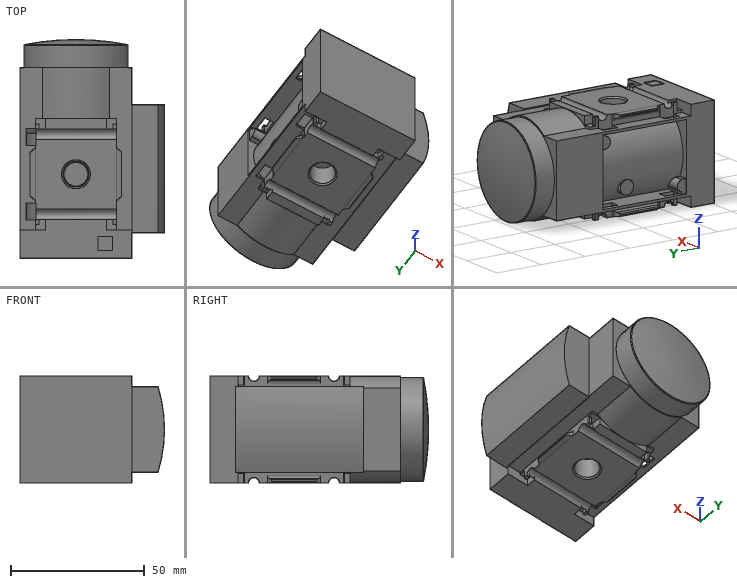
import cadquery as cq
import math


BODY_WIDTH = 42.0
BODY_HEIGHT = 40.2
HALF_WIDTH = BODY_WIDTH / 2
HALF_HEIGHT = BODY_HEIGHT / 2
FRONT_BLOCK_DEPTH = 10.6
CARRIER_END = 52.45
BONNET_END = 71.5
TOTAL_LENGTH = 82.0
SHELF_HALF_HEIGHT = 15.6
CREST_RADIUS = 20.0
CARRIER_MID = (FRONT_BLOCK_DEPTH + CARRIER_END) / 2

CAP_DIAMETER = 39.0
CAP_STRAIGHT_END = 79.75
CAP_CHAMFER = 0.3

PLATE_WIDTH = 30.3
PLATE_HALF_WIDTH = PLATE_WIDTH / 2
GROOVE_DIAMETER = 4.0
GROOVE_SPACING = 30.0
PORT_DIAMETER = 9.7
PORT_FLOOR_DIAMETER = 8.9
PORT_DEPTH = 9.8
PORT_CHAMFER = 0.6

LIP_REACH = 2.0
LIP_LENGTH = 19.8
LIP_END_TAPER = 1.6
LIP_TOP_DROP = 0.3
LIP_EDGE_BOTTOM = 19.3
LIP_BEVEL_BOTTOM = 18.8
LIP_BEVEL_INSET = 0.3
LIP_ROOT_BOTTOM = 17.45
LIP_ROOT_RADIUS = 0.8

NOTCH_WIDTH = 3.7
NOTCH_LENGTH = 4.0
NOTCH_FLOOR = 16.55
TAB_WIDTH = 1.3
TAB_LENGTH = 2.0
TAB_CHAMFER = 0.4

WINDOW_LENGTH = 38.0
WINDOW_HALF_HEIGHT = 14.5
BOWL_RADIUS = 18.5
PIN_DIAMETER = 6.1
PIN_FACE_X = -17.95
PIN_Y = 37.5
PIN_Z = -8.6
BOSS_DIAMETER = 5.0
BOSS_FACE_X = -20.4
BOSS_SPACING_Y = 35.4
BOSS_Z = 11.15
BOSS_WEB_OVERLAP = 0.6

SLOT_WIDTH = 3.8
SLOT_LENGTH = 6.2
SLOT_SPACING = 27.9
SLOT_INNER_X = -14.9

MODULE_FRONT = 9.6
MODULE_BACK = 57.6
MODULE_HALF_HEIGHT = 16.1
MODULE_EDGE_X = 30.7
MODULE_CROWN_X = 33.2

LABEL_SIZE = 5.3
LABEL_X = 11.0
LABEL_Y = 5.6
LABEL_DEPTH = 0.25


def box(x_range, y_range, z_range):
    """Box between two limits on each axis."""
    size = [high - low for low, high in (x_range, y_range, z_range)]
    corner = (x_range[0], y_range[0], z_range[0])
    return cq.Workplane("XY").box(*size, centered=False).translate(corner)


def cylinder_along_y(radius, start, end):
    return cq.Workplane("XZ", origin=(0, start, 0)).circle(radius).extrude(start - end)


def cylinder_along_x(diameter, start, end, y, z):
    return cq.Workplane("YZ", origin=(start, y, z)).circle(diameter / 2).extrude(end - start)


def with_mirror(shape, plane):
    return shape.union(shape.mirror(plane))


def make_housing():
    """Front block, carrier with low shelves, and bonnet with its round crest."""
    full_x = (-HALF_WIDTH, HALF_WIDTH)
    full_z = (-HALF_HEIGHT, HALF_HEIGHT)
    shelf_z = (-SHELF_HALF_HEIGHT, SHELF_HALF_HEIGHT)
    front_block = box(full_x, (0, FRONT_BLOCK_DEPTH), full_z)
    core = box(full_x, (FRONT_BLOCK_DEPTH, BONNET_END), shelf_z)
    crest = cylinder_along_y(CREST_RADIUS, CARRIER_END, BONNET_END)
    return front_block.union(core).union(crest)


def make_cap():
    radius = CAP_DIAMETER / 2
    rim_radius = radius - CAP_CHAMFER
    rim_y = CAP_STRAIGHT_END + CAP_CHAMFER
    rise = TOTAL_LENGTH - rim_y
    dome_radius = (rim_radius**2 + rise**2) / (2 * rise)
    middle_x = rim_radius / 2
    middle_y = TOTAL_LENGTH - dome_radius + math.sqrt(dome_radius**2 - middle_x**2)
    return (
        cq.Workplane("XY")
        .moveTo(0, BONNET_END)
        .lineTo(radius, BONNET_END)
        .lineTo(radius, CAP_STRAIGHT_END)
        .lineTo(rim_radius, rim_y)
        .threePointArc((middle_x, middle_y), (0, TOTAL_LENGTH))
        .close()
        .revolve(360, (0, 0, 0), (0, 1, 0))
    )


def make_lip():
    """Tapered lip on the +X side of the top plate, with a rounded root underneath."""
    outer_x = PLATE_HALF_WIDTH + LIP_REACH
    round_inset = LIP_ROOT_RADIUS * (1 - math.sqrt(0.5))
    round_top = LIP_ROOT_BOTTOM + LIP_ROOT_RADIUS
    profile = (
        cq.Workplane("XZ", origin=(0, CARRIER_MID + LIP_LENGTH / 2, 0))
        .moveTo(PLATE_HALF_WIDTH, HALF_HEIGHT)
        .lineTo(outer_x, HALF_HEIGHT - LIP_TOP_DROP)
        .lineTo(outer_x, LIP_EDGE_BOTTOM)
        .lineTo(outer_x - LIP_BEVEL_INSET, LIP_BEVEL_BOTTOM)
        .lineTo(PLATE_HALF_WIDTH + LIP_ROOT_RADIUS, round_top)
        .threePointArc(
            (PLATE_HALF_WIDTH + round_inset, round_top - round_inset),
            (PLATE_HALF_WIDTH, LIP_ROOT_BOTTOM),
        )
        .close()
        .extrude(LIP_LENGTH)
    )
    half_root = LIP_LENGTH / 2
    half_tip = half_root - LIP_END_TAPER
    plan = (
        cq.Workplane("XY", origin=(0, CARRIER_MID, LIP_ROOT_BOTTOM))
        .polyline(
            [
                (PLATE_HALF_WIDTH, -half_root),
                (outer_x, -half_tip),
                (outer_x, half_tip),
                (PLATE_HALF_WIDTH, half_root),
            ]
        )
        .close()
        .extrude(HALF_HEIGHT - LIP_ROOT_BOTTOM)
    )
    return profile.intersect(plan)


def make_notch():
    """Cutter for the +X, +Y corner notch of the top plate, leaving the tab."""
    notch = box(
        (PLATE_HALF_WIDTH - NOTCH_WIDTH, PLATE_HALF_WIDTH),
        (CARRIER_END - NOTCH_LENGTH, CARRIER_END),
        (NOTCH_FLOOR, HALF_HEIGHT),
    )
    tab_start = CARRIER_END - NOTCH_LENGTH
    tab = box(
        (PLATE_HALF_WIDTH - TAB_WIDTH, PLATE_HALF_WIDTH),
        (tab_start, tab_start + TAB_LENGTH),
        (NOTCH_FLOOR, HALF_HEIGHT),
    )
    tab = tab.edges("|Z and >X and >Y").chamfer(TAB_CHAMFER)
    return notch.cut(tab)


def make_top_plate():
    """Port plate with lips, cross grooves and corner notches."""
    plate = box(
        (-PLATE_HALF_WIDTH, PLATE_HALF_WIDTH),
        (FRONT_BLOCK_DEPTH, CARRIER_END),
        (SHELF_HALF_HEIGHT, HALF_HEIGHT),
    )
    plate = plate.union(with_mirror(make_lip(), "YZ"))

    for side in (-1, 1):
        groove_y = CARRIER_MID + side * GROOVE_SPACING / 2
        groove = cylinder_along_x(
            GROOVE_DIAMETER, -PLATE_HALF_WIDTH, PLATE_HALF_WIDTH, groove_y, HALF_HEIGHT
        )
        plate = plate.cut(groove)

    back_notches = with_mirror(make_notch(), "YZ")
    front_notches = back_notches.mirror("XZ", (0, CARRIER_MID, 0))
    return plate.cut(back_notches).cut(front_notches)


def make_top_port():
    """Cutter for the blind, slightly tapered port with its entry chamfer."""
    mouth_radius = PORT_DIAMETER / 2
    port_floor = HALF_HEIGHT - PORT_DEPTH
    return (
        cq.Workplane("XZ")
        .polyline(
            [
                (0, HALF_HEIGHT),
                (mouth_radius + PORT_CHAMFER, HALF_HEIGHT),
                (mouth_radius, HALF_HEIGHT - PORT_CHAMFER),
                (PORT_FLOOR_DIAMETER / 2, port_floor),
                (0, port_floor),
            ]
        )
        .close()
        .revolve(360, (0, 0, 0), (0, 1, 0))
        .translate((0, CARRIER_MID, 0))
    )


def make_window():
    """Cutter for the side window, leaving the bowl, its pin and two corner bosses."""
    y_start = CARRIER_MID - WINDOW_LENGTH / 2
    y_end = CARRIER_MID + WINDOW_LENGTH / 2
    window = box(
        (-HALF_WIDTH, 0), (y_start, y_end), (-WINDOW_HALF_HEIGHT, WINDOW_HALF_HEIGHT)
    )
    bowl = cylinder_along_y(BOWL_RADIUS, y_start, y_end)
    pin = cylinder_along_x(PIN_DIAMETER, PIN_FACE_X, 0, PIN_Y, PIN_Z)
    window = window.cut(bowl).cut(pin)

    for side in (-1, 1):
        boss_y = CARRIER_MID + side * BOSS_SPACING_Y / 2
        boss_z = side * BOSS_Z
        wall_y = CARRIER_MID + side * WINDOW_LENGTH / 2
        wall_z = side * WINDOW_HALF_HEIGHT
        boss_edge_z = boss_z - side * BOSS_DIAMETER / 2
        boss = cylinder_along_x(BOSS_DIAMETER, BOSS_FACE_X, 0, boss_y, boss_z)
        web_y = boss_y - side * BOSS_WEB_OVERLAP
        web = box(
            (BOSS_FACE_X, 0),
            sorted((web_y, wall_y)),
            sorted((boss_edge_z, wall_z)),
        )
        window = window.cut(boss).cut(web)
    return window


def make_slots():
    """Cutters for the slots, running from the window out past the top plate's side."""
    slots = cq.Workplane("XY")
    for side in (-1, 1):
        slot_y = CARRIER_MID + side * SLOT_SPACING / 2
        slots = slots.union(
            box(
                (SLOT_INNER_X - SLOT_WIDTH, SLOT_INNER_X),
                (slot_y - SLOT_LENGTH / 2, slot_y + SLOT_LENGTH / 2),
                (WINDOW_HALF_HEIGHT, HALF_HEIGHT),
            )
        )
    return slots


def make_side_module():
    """Block on the +X side with a crowned outer face."""
    return (
        cq.Workplane("XZ", origin=(0, MODULE_FRONT, 0))
        .moveTo(HALF_WIDTH, -MODULE_HALF_HEIGHT)
        .lineTo(MODULE_EDGE_X, -MODULE_HALF_HEIGHT)
        .threePointArc((MODULE_CROWN_X, 0), (MODULE_EDGE_X, MODULE_HALF_HEIGHT))
        .lineTo(HALF_WIDTH, MODULE_HALF_HEIGHT)
        .close()
        .extrude(MODULE_FRONT - MODULE_BACK)
    )


def make_label_recess():
    return (
        cq.Workplane("XY", origin=(LABEL_X, LABEL_Y, HALF_HEIGHT))
        .rect(LABEL_SIZE, LABEL_SIZE)
        .extrude(-LABEL_DEPTH)
    )


result = (
    make_housing()
    .union(make_cap())
    .union(make_side_module())
    .union(with_mirror(make_top_plate(), "XY"))
    .cut(with_mirror(make_top_port(), "XY"))
    .cut(make_window())
    .cut(with_mirror(make_slots(), "XY"))
    .cut(make_label_recess())
)